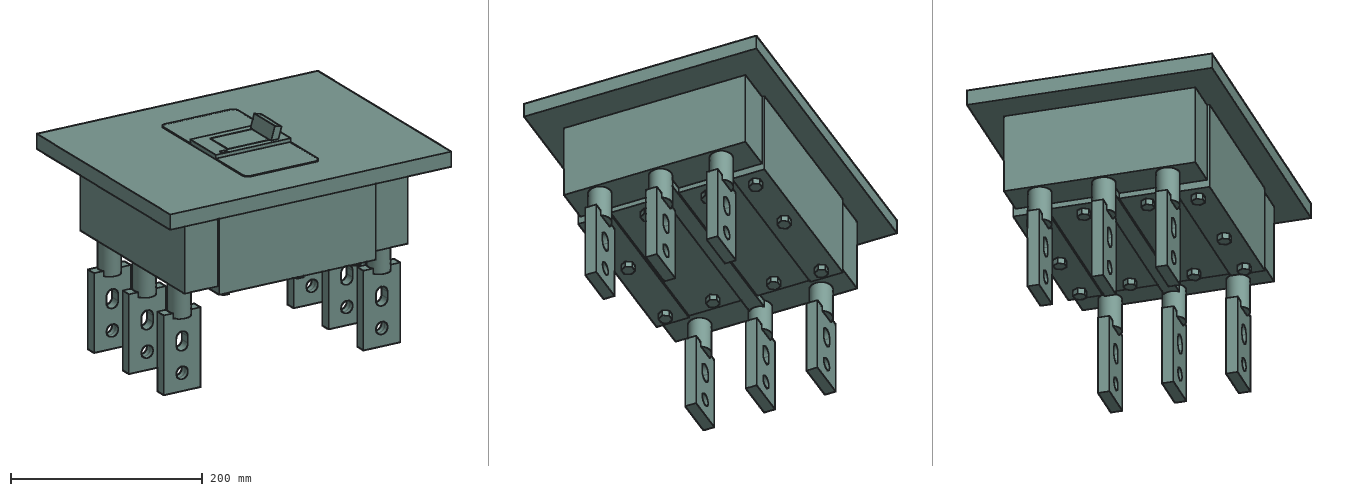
import cadquery as cq
import math


panel_width = 268.0
panel_length = 343.0
panel_thickness = 17.0

front_width = 171.5
front_length = 91.2
front_center_y = -4.5
front_corner_radius = 6.2
front_rise = 1.0

band_width = 51.5
band_top = 5.0
window_width = 35.5
window_front_y = -30.5
button_width = 5.5
button_length = 6.5
button_center_x = 21.5
button_center_y = -37.7
recess_depth = 0.5

handle_width = 41.5
handle_thickness = 8.5
handle_lean = 16.0
handle_top = 20.5
handle_front_y = 20.5

case_width = 209.2
case_length = 272.5
case_bottom = -106.0
core_length = 191.5
core_bottom = -112.0

rail_bottom = -114.5
rail_outer_x = 107.5
bolt_flats = 12.7
bolt_height = 7.0
rail_bolt_x = 90.0
rail_bolt_rows = (-80.0, 10.5, 80.0)
core_bolt_x = 35.0
core_bolt_rows = (rail_bolt_rows[0], rail_bolt_rows[-1])

pole_pitch = 70.0
terminal_y = 121.8
post_diameter = 25.0
post_bottom = -144.0
strap_thickness = 12.7
strap_width = 45.0
strap_top = -138.2
strap_bottom = -227.8
strap_hole_diameter = 14.0
strap_hole_rise = 20.5
strap_slot_rise = 56.3
strap_slot_length = 21.5

rib_width = 17.0

panel_bottom = -panel_thickness
window_length = handle_front_y - window_front_y
rail_inner_x = pole_pitch
bolt_corners = bolt_flats / math.cos(math.radians(30))
terminal_places = [
    (pole * pole_pitch, side * terminal_y)
    for pole in (-1, 0, 1)
    for side in (-1, 1)
]


def block(width, length, bottom, top, x=0.0, y=0.0):
    """Upright box centred on (x, y) between two heights."""
    box = cq.Workplane("XY").box(width, length, top - bottom, centered=(True, True, False))
    return box.translate((x, y, bottom))


def front_plate(bottom, top):
    """Rounded plate with the outline shared by the front plate and the cutout."""
    plate = block(front_width, front_length, bottom, top, y=front_center_y)
    return plate.edges("|Z").fillet(front_corner_radius)


def make_panel():
    panel = block(panel_width, panel_length, panel_bottom, 0)
    return panel.cut(front_plate(panel_bottom, 0))


def make_handle():
    """Flat lever with a square end, leaning toward +Y from the band."""
    lean = math.radians(handle_lean)
    rise = handle_top - front_rise
    foot_y = handle_front_y - (band_top - front_rise) * math.tan(lean)
    foot_back_y = foot_y + handle_thickness / math.cos(lean)
    tip_y = foot_y + rise * math.tan(lean)
    tip_back_y = tip_y + handle_thickness * math.cos(lean)
    tip_back_z = handle_top - handle_thickness * math.sin(lean)
    return (
        cq.Workplane("YZ")
        .moveTo(foot_y, front_rise)
        .lineTo(tip_y, handle_top)
        .lineTo(tip_back_y, tip_back_z)
        .lineTo(foot_back_y, front_rise)
        .close()
        .extrude(handle_width / 2, both=True)
    )


def make_front():
    """Front plate, raised band with shallow recesses, and handle."""
    band = block(band_width, front_length, 0, band_top, y=front_center_y)
    recess_bottom = band_top - recess_depth
    window_center_y = window_front_y + window_length / 2
    window = block(window_width, window_length, recess_bottom, band_top, y=window_center_y)
    button = block(
        button_width, button_length, recess_bottom, band_top, button_center_x, button_center_y
    )
    band = band.cut(window).cut(button)
    return front_plate(panel_bottom, front_rise).union(band).union(make_handle())


def make_bolts(columns, rows, top):
    """Hexagonal bolt heads hanging from a face, with corners pointing along Y."""
    head = cq.Workplane("XY").polygon(6, bolt_corners).extrude(-bolt_height)
    head = head.rotate((0, 0, 0), (0, 0, 1), 90)
    return [head.translate((x, y, top)) for x in columns for y in rows]


def make_case():
    """Case, its deeper core, the side rails and the bolts under them."""
    case = block(case_width, case_length, case_bottom, panel_bottom)
    case = case.union(block(case_width, core_length, core_bottom, panel_bottom))
    rail_width = rail_outer_x - rail_inner_x
    rail_center_x = (rail_outer_x + rail_inner_x) / 2
    for side in (-1, 1):
        rail = block(rail_width, core_length, rail_bottom, panel_bottom, side * rail_center_x)
        case = case.union(rail)
    bolts = make_bolts((-rail_bolt_x, rail_bolt_x), rail_bolt_rows, rail_bottom)
    bolts += make_bolts((-core_bolt_x, core_bolt_x), core_bolt_rows, core_bottom)
    for bolt in bolts:
        case = case.union(bolt)
    return case


def make_rib():
    """Bar under the middle of the case that runs between the two middle posts."""
    return block(rib_width, 2 * terminal_y, rail_bottom, case_bottom)


def make_terminal():
    """Post and strap, centred on the Z axis; the strap has a hole below a slot."""
    post = cq.Workplane("XY").workplane(offset=post_bottom)
    post = post.circle(post_diameter / 2).extrude(case_bottom - post_bottom)
    hole = (
        cq.Workplane("YZ")
        .center(0, strap_bottom + strap_hole_rise)
        .circle(strap_hole_diameter / 2)
        .extrude(strap_thickness, both=True)
    )
    slot = (
        cq.Workplane("YZ")
        .center(0, strap_bottom + strap_slot_rise)
        .slot2D(strap_slot_length, strap_hole_diameter, 90)
        .extrude(strap_thickness, both=True)
    )
    strap = block(strap_thickness, strap_width, strap_bottom, strap_top)
    return post.union(strap).cut(hole).cut(slot)


def make_breaker():
    breaker = make_case().union(make_front()).union(make_rib())
    terminal = make_terminal()
    for x, y in terminal_places:
        breaker = breaker.union(terminal.translate((x, y, 0)))
    return breaker


panel = make_panel()
breaker = make_breaker()

result = cq.Compound.makeCompound([panel.val(), breaker.val()])